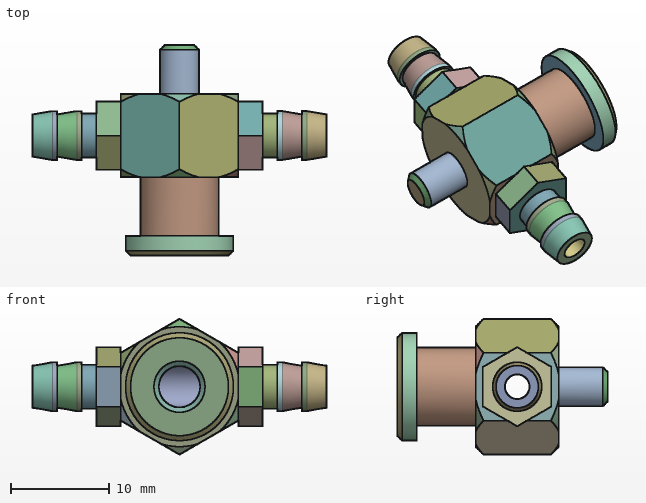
import cadquery as cq
import math

block_flats = 12.0
block_depth = 8.5
block_face_diameter = 12.25

neck_diameter = 8.0
neck_length = 6.0
flange_diameter = 11.0
flange_thickness = 2.0

pin_diameter = 4.0
pin_length = 5.0

edge_chamfer = 0.5

passage_diameter = 4.2

overall_length = 30.0
barb_hex_flats = 7.0
barb_hex_thickness = 2.5
barb_bore_diameter = 2.5
stem_diameter = 4.5
stem_length = 1.5
ridge_diameter = 5.0
ridge_land = 0.5
cone_small_diameter = 4.32
ridge_count = 2

block_front = -block_depth / 2
block_back = block_depth / 2
flange_face = block_front - neck_length - flange_thickness
barb_base = block_flats / 2
ridge_pitch = (overall_length / 2 - barb_base - barb_hex_thickness - stem_length) / ridge_count


def across_corners(flats):
    return flats / math.cos(math.pi / 6)


def cylinder_y(diameter, y_start, length):
    """Cylinder on the Y axis running from y_start towards +Y."""
    plane = cq.Workplane("XZ", origin=(0, y_start, 0))
    return plane.circle(diameter / 2).extrude(-length)


def make_block():
    """Hexagonal block with its corners turned down by a cone at both ends."""
    hexagon = (
        cq.Workplane("XZ", origin=(0, block_front, 0))
        .polygon(6, across_corners(block_flats))
        .extrude(-block_depth)
        .rotate((0, 0, 0), (0, 1, 0), 30)
    )
    corner_chamfer = (across_corners(block_flats) - block_face_diameter) / 2
    turned_envelope = cylinder_y(across_corners(block_flats), block_front, block_depth)
    return hexagon.intersect(turned_envelope.faces("<Y or >Y").chamfer(corner_chamfer))


def make_body():
    """Block, neck, flange and pin, with a front port meeting the cross passage."""
    neck = cylinder_y(neck_diameter, block_front - neck_length, neck_length)
    flange = cylinder_y(flange_diameter, flange_face, flange_thickness).faces("<Y").chamfer(edge_chamfer)
    pin = cylinder_y(pin_diameter, block_back, pin_length).faces(">Y").chamfer(edge_chamfer)
    body = make_block().union(neck).union(flange).union(pin)

    port = cylinder_y(passage_diameter, flange_face, -flange_face)
    passage_plane = cq.Workplane("YZ", origin=(-block_flats / 2, 0, 0))
    cross_passage = passage_plane.circle(passage_diameter / 2).extrude(block_flats)
    mouth_radius = passage_diameter / 2 + edge_chamfer
    port_mouth = cq.Workplane("XZ", origin=(0, flange_face, 0)).circle(mouth_radius).extrude(
        -edge_chamfer, taper=45
    )
    return body.cut(port).cut(cross_passage).cut(port_mouth)


def make_barb():
    """Hose barb on the +X side: hexagonal base, stem and tapered ridges, bored through."""
    base = (
        cq.Workplane("YZ", origin=(barb_base, 0, 0))
        .polygon(6, across_corners(barb_hex_flats))
        .extrude(barb_hex_thickness)
        .rotate((0, 0, 0), (1, 0, 0), 30)
    )
    stem_start = barb_base + barb_hex_thickness
    ridges_start = stem_start + stem_length
    profile = [
        (stem_start, 0),
        (stem_start, stem_diameter / 2),
        (ridges_start, stem_diameter / 2),
    ]
    for index in range(ridge_count):
        ridge_start = ridges_start + index * ridge_pitch
        profile += [
            (ridge_start, ridge_diameter / 2),
            (ridge_start + ridge_land, ridge_diameter / 2),
            (ridge_start + ridge_pitch, cone_small_diameter / 2),
        ]
    profile.append((overall_length / 2, 0))
    nozzle = cq.Workplane("XY").polyline(profile).close().revolve(360, (0, 0, 0), (1, 0, 0))
    bore = cq.Workplane("YZ").circle(barb_bore_diameter / 2).extrude(overall_length / 2)
    return base.union(nozzle).cut(bore)


body = make_body()
barbs = [make_barb().rotate((0, 0, 0), (0, 0, 1), angle) for angle in (0, 180)]

result = cq.Compound.makeCompound([body.val(), *[barb.val() for barb in barbs]])